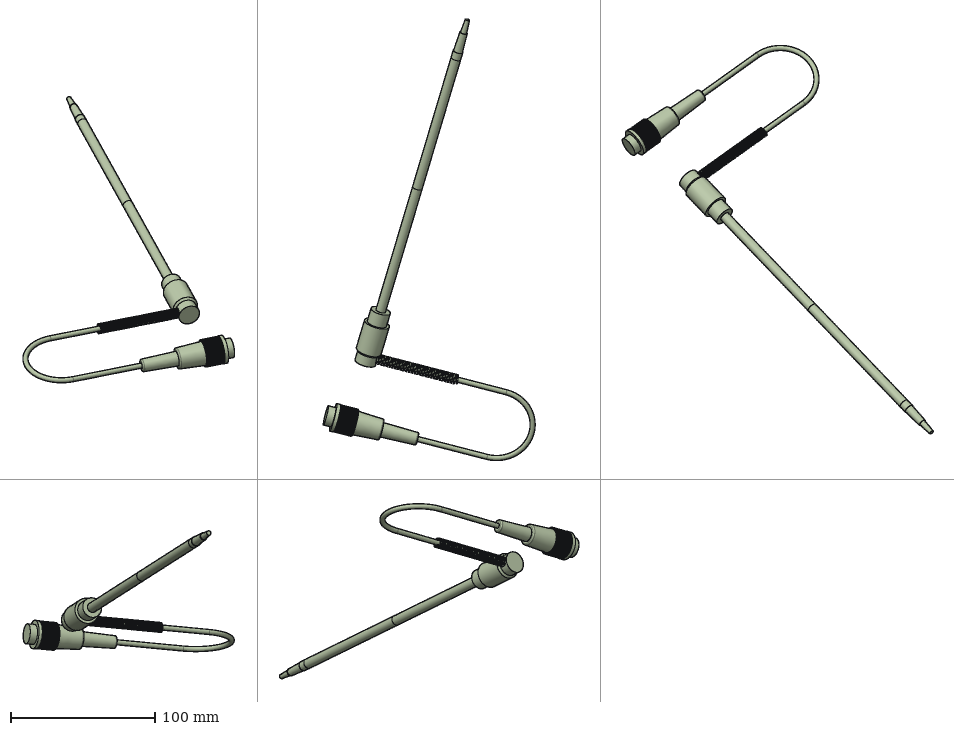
import cadquery as cq
import math


TIP_NOSE = (3.24, 4.5)
TIP_MIDDLE = (5.4, 6.5)
NOSE_END = 10.0
MIDDLE_END = 24.5
TIP_END = 30.0

TUBE_DIAMETER = 7.0
TUBE_JOINT = 130.0
TUBE_END = 225.0

SLEEVE_DIAMETER = 14.0
SLEEVE_END = 234.8
BARREL_DIAMETER = 18.0
BARREL_END = 256.2
CAP_DIAMETER = 15.0
CAP_START = 257.7
CAP_END = 265.0

CABLE_DIAMETER = 3.7
BEND_RADIUS = 25.0
BEND_Y = -100.0
HOUSING_LEG_X = 260.29
PLUG_LEG_X = HOUSING_LEG_X + 2 * BEND_RADIUS

SPRING_DIAMETER = 7.0
SPRING_WIRE = 1.0
SPRING_PITCH = 2.0
SPRING_TOP = -6.6
SPRING_BOTTOM = -65.3

BOOT_TOP = -5.3
BOOT_SHOULDER = -24.2
BOOT_BOTTOM = -50.0
BOOT_HEAD = (17.1, 15.0)
BOOT_TAIL = (10.5, 9.0)
BOOT_ROUND = 1.0

PLUG_TOP = 15.8
PLUG_NOSE_DIAMETER = 14.0
GRIP_TOP = 10.5
KNURL_TOP = 7.8
KNURL_BOTTOM = -4.5
GRIP_DIAMETER = 19.9
KNURL_DIAMETER = 19.5
KNURL_COUNT = 60
KNURL_DEPTH = 0.5
GRIP_CHAMFER = 0.5


def cylinder_x(diameter, start, end):
    """Round bar on the probe axis between two X positions."""
    return cq.Workplane("YZ", origin=(start, 0, 0)).circle(diameter / 2).extrude(end - start)


def cylinder_y(diameter, x, top, bottom):
    """Round bar parallel to Y, running down from top to bottom."""
    return cq.Workplane("XZ", origin=(x, top, 0)).circle(diameter / 2).extrude(top - bottom)


def make_tip():
    profile = [
        (0, 0),
        (0, TIP_NOSE[0] / 2),
        (NOSE_END, TIP_NOSE[1] / 2),
        (NOSE_END, TIP_MIDDLE[0] / 2),
        (MIDDLE_END, TIP_MIDDLE[1] / 2),
        (MIDDLE_END, TUBE_DIAMETER / 2),
        (TIP_END, TUBE_DIAMETER / 2),
        (TIP_END, 0),
    ]
    return cq.Workplane("XY").polyline(profile).close().revolve(360, (0, 0, 0), (1, 0, 0))


def make_housing():
    profile = [
        (TUBE_END, 0),
        (TUBE_END, SLEEVE_DIAMETER / 2),
        (SLEEVE_END, SLEEVE_DIAMETER / 2),
        (SLEEVE_END, BARREL_DIAMETER / 2),
        (BARREL_END, BARREL_DIAMETER / 2),
        (CAP_START, CAP_DIAMETER / 2),
        (CAP_END, CAP_DIAMETER / 2),
        (CAP_END, 0),
    ]
    body = cq.Workplane("XY").polyline(profile).close().revolve(360, (0, 0, 0), (1, 0, 0))
    seat = cylinder_y(SPRING_DIAMETER, HOUSING_LEG_X, SPRING_TOP, -BARREL_DIAMETER)
    return body.cut(seat)


def make_cable():
    path = (
        cq.Workplane("XY")
        .moveTo(HOUSING_LEG_X, SPRING_TOP)
        .lineTo(HOUSING_LEG_X, BEND_Y)
        .threePointArc((HOUSING_LEG_X + BEND_RADIUS, BEND_Y - BEND_RADIUS), (PLUG_LEG_X, BEND_Y))
        .lineTo(PLUG_LEG_X, BOOT_TOP)
    )
    start = cq.Workplane("XZ", origin=(HOUSING_LEG_X, SPRING_TOP, 0))
    return start.circle(CABLE_DIAMETER / 2).sweep(path)


def make_spring():
    coil_radius = (SPRING_DIAMETER - SPRING_WIRE) / 2
    coil_height = SPRING_TOP - SPRING_BOTTOM - SPRING_WIRE
    helix = cq.Wire.makeHelix(SPRING_PITCH, coil_height, coil_radius)
    wire_section = cq.Workplane("XZ", origin=(coil_radius, 0, 0)).rect(SPRING_WIRE, SPRING_WIRE)
    coil = wire_section.sweep(cq.Workplane(helix), isFrenet=True)
    coil = coil.rotate((0, 0, 0), (1, 0, 0), 90)
    return coil.translate((HOUSING_LEG_X, SPRING_TOP - SPRING_WIRE / 2, 0))


def rounded_taper(diameters, top, bottom):
    """Tapered stretch of the boot with its lower rim rounded."""
    profile = [
        (0, top),
        (diameters[0] / 2, top),
        (diameters[1] / 2, bottom),
        (0, bottom),
    ]
    taper = cq.Workplane("XY").polyline(profile).close().revolve(360, (0, 0, 0), (0, 1, 0))
    taper = taper.faces("<Y").edges().fillet(BOOT_ROUND)
    return taper.translate((PLUG_LEG_X, 0, 0))


def make_boot():
    head = rounded_taper(BOOT_HEAD, BOOT_TOP, BOOT_SHOULDER)
    tail = rounded_taper(BOOT_TAIL, BOOT_SHOULDER, BOOT_BOTTOM)
    cable_bore = cylinder_y(CABLE_DIAMETER, PLUG_LEG_X, BOOT_TOP, BOOT_BOTTOM)
    return head.union(tail).cut(cable_bore)


def make_knurl():
    """Grip section with straight V-shaped ridges."""
    points = []
    for i in range(2 * KNURL_COUNT):
        angle = math.pi * i / KNURL_COUNT
        radius = KNURL_DIAMETER / 2 - KNURL_DEPTH * (i % 2)
        points.append((radius * math.cos(angle), radius * math.sin(angle)))
    section = cq.Workplane("XZ", origin=(PLUG_LEG_X, KNURL_TOP, 0)).polyline(points).close()
    return section.extrude(KNURL_TOP - KNURL_BOTTOM)


def make_plug():
    nose = cylinder_y(PLUG_NOSE_DIAMETER, PLUG_LEG_X, PLUG_TOP, GRIP_TOP)
    rim = cylinder_y(GRIP_DIAMETER, PLUG_LEG_X, GRIP_TOP, KNURL_TOP)
    foot = cylinder_y(KNURL_DIAMETER, PLUG_LEG_X, KNURL_BOTTOM, BOOT_TOP)
    foot = foot.faces("<Y").edges().chamfer(GRIP_CHAMFER)
    return nose.union(rim).union(make_knurl()).union(foot)


tip = make_tip()
front_tube = cylinder_x(TUBE_DIAMETER, TIP_END, TUBE_JOINT)
rear_tube = cylinder_x(TUBE_DIAMETER, TUBE_JOINT, TUBE_END)
housing = make_housing()
cable = make_cable()
spring = make_spring()
boot = make_boot()
plug = make_plug()

result = cq.Compound.makeCompound(
    [
        tip.val(),
        front_tube.val(),
        rear_tube.val(),
        housing.val(),
        cable.val(),
        spring.val(),
        boot.val(),
        plug.val(),
    ]
)